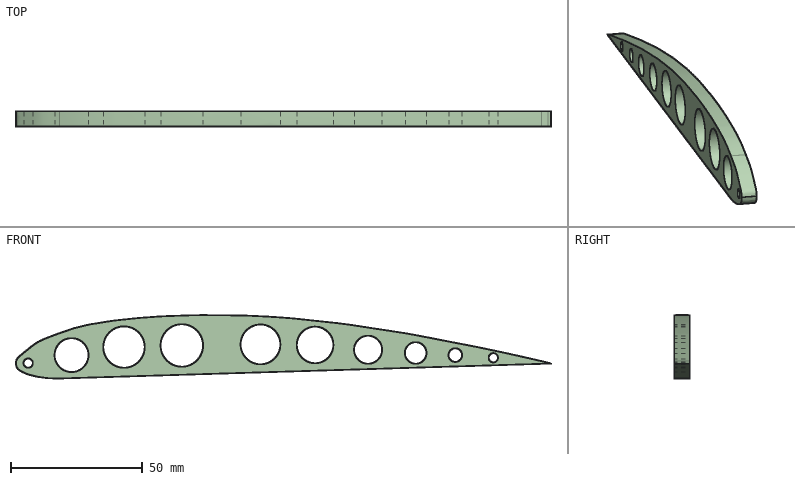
import cadquery as cq

chord = 203.8
thickness = 6.0
height = 24.3

nose = (0.0, 6.0)
upper_join = (16.5, 17.3)
crest = (71.3, height)
tail_top = (200.1, 6.7)
tail_break = (202.5, 6.1)
tail_tip = (chord, 5.7)
lower_join = (16.3, 0.0)

nose_upper_points = [(1.8, 9.0), (8.5, 14.0)]
upper_points = [
    (38.0, 22.2), crest, (96.8, 23.6), (122.3, 21.2), (148.4, 17.3), (178.0, 11.6),
]
nose_lower_points = [(1.8, 2.9), (8.5, 0.6)]

nose_rise = (0.0, 1.0)
upper_slope = (1.0, 0.41)
tail_slope = (1.0, -0.23)
lower_run = (tail_tip[0] - lower_join[0], tail_tip[1] - lower_join[1])
lower_run_reversed = (-lower_run[0], -lower_run[1])

holes = [
    (4.7, 6.0, 3.5),
    (21.2, 9.0, 12.8),
    (41.2, 12.0, 15.7),
    (63.2, 12.6, 16.0),
    (93.1, 13.0, 15.0),
    (114.0, 12.8, 13.9),
    (134.0, 11.0, 10.5),
    (152.2, 9.8, 8.2),
    (167.3, 9.0, 5.0),
    (181.8, 8.0, 3.5),
]


def airfoil_plate():
    """Extrude the closed airfoil outline along +Y from the front face."""
    return (
        cq.Workplane("XZ")
        .moveTo(*nose)
        .spline(nose_upper_points + [upper_join], tangents=[nose_rise, upper_slope], includeCurrent=True)
        .spline(upper_points + [tail_top], tangents=[upper_slope, tail_slope], includeCurrent=True)
        .lineTo(*tail_break)
        .lineTo(*tail_tip)
        .lineTo(*lower_join)
        .spline(
            nose_lower_points[::-1] + [nose],
            tangents=[lower_run_reversed, nose_rise],
            includeCurrent=True,
        )
        .close()
        .extrude(-thickness)
    )


def drill(plate, x, z, diameter):
    """Cut one round hole through the full plate thickness."""
    cutter = cq.Workplane("XZ").center(x, z).circle(diameter / 2).extrude(-thickness)
    return plate.cut(cutter)


result = airfoil_plate()
for hole_x, hole_z, hole_diameter in holes:
    result = drill(result, hole_x, hole_z, hole_diameter)